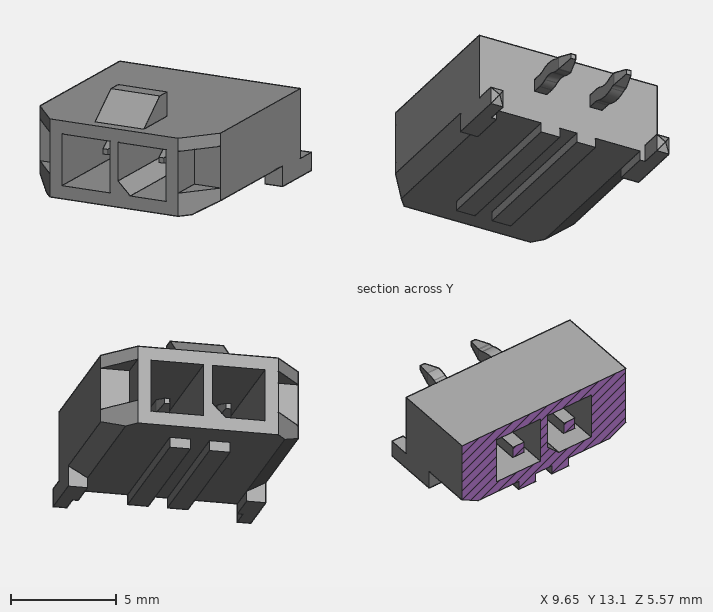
import cadquery as cq

BODY_WIDTH = 9.65
BODY_LENGTH = 9.88
BODY_HEIGHT = 3.87
OVERALL_LENGTH = 13.08

CORNER_WIDTH = 1.4
CORNER_LENGTH = 1.67
NOTCH_BOTTOM = 1.15
NOTCH_HEIGHT = 2.07

BEVEL_WIDTH = 0.94
BEVEL_HEIGHT = 0.52

PITCH = 3.0
POCKET_SIZE = 2.56
POCKET_DEPTH = 7.98
KEY_CHAMFER = 0.65

LATCH_WIDTH = 2.6
LATCH_HEIGHT = 1.2
LATCH_FRONT = 0.56
LATCH_RAMP_LENGTH = 1.64
LATCH_FLAT_LENGTH = 0.75

FOOT_DROP = 0.5
FOOT_LENGTH = 1.85
RAIL_WIDTH = 1.01
RAIL_SPACING = 1.94
RAIL_FRONT = 1.58

PEG_WIDTH = 0.67
PEG_HEIGHT = 0.9
PEG_LENGTH = 1.14
PEG_POINT_LENGTH = 0.26

PIN_SIZE = 0.65
PIN_RISE = 0.04
PIN_HEIGHT = BODY_HEIGHT / 2 + PIN_RISE
PIN_TIP_SIZE = 0.26
PIN_TIP_LENGTH = 0.85
PIN_RECESS = 2.0
WAVE_LENGTH = 1.8
WAVE_DEPTH = 0.18
CREST_SHARE = 0.56
RAISED_WAVE_SHIFT = 0.05


def block(width, y_start, y_end, z_start, z_end, x_center=0):
    """Box centred on x_center, spanning the given Y and Z ranges."""
    return (
        cq.Workplane("XY")
        .box(width, y_end - y_start, z_end - z_start, centered=(True, False, False))
        .translate((x_center, y_start, z_start))
    )


def make_housing():
    """Housing block with bevelled lower sides and cut, notched mouth corners."""
    half_width = BODY_WIDTH / 2
    bevelled_half = half_width - BEVEL_WIDTH
    mouth_half = half_width - CORNER_WIDTH
    section = (
        cq.Workplane("XZ")
        .polyline([
            (-bevelled_half, 0),
            (bevelled_half, 0),
            (half_width, BEVEL_HEIGHT),
            (half_width, BODY_HEIGHT),
            (-half_width, BODY_HEIGHT),
            (-half_width, BEVEL_HEIGHT),
        ])
        .close()
        .extrude(-BODY_LENGTH)
    )
    plan = (
        cq.Workplane("XY")
        .polyline([
            (-mouth_half, 0),
            (mouth_half, 0),
            (half_width, CORNER_LENGTH),
            (half_width, BODY_LENGTH),
            (-half_width, BODY_LENGTH),
            (-half_width, CORNER_LENGTH),
        ])
        .close()
        .extrude(BODY_HEIGHT)
    )
    housing = section.intersect(plan)
    notch_top = NOTCH_BOTTOM + NOTCH_HEIGHT
    for side in (-1, 1):
        notch_x = side * (mouth_half + CORNER_WIDTH / 2)
        housing = housing.cut(block(CORNER_WIDTH, 0, CORNER_LENGTH, NOTCH_BOTTOM, notch_top, notch_x))
    return housing


def make_pocket(side):
    """Square contact pocket; the +X one has a chamfered lower inner corner."""
    bottom = (BODY_HEIGHT - POCKET_SIZE) / 2
    pocket = block(POCKET_SIZE, 0, POCKET_DEPTH, bottom, bottom + POCKET_SIZE, side * PITCH / 2)
    if side > 0:
        pocket = pocket.edges("|Y").edges("<X").edges("<Z").chamfer(KEY_CHAMFER)
    return pocket


def make_latch():
    """Latch ramp rising from the mouth towards a flat top."""
    top = BODY_HEIGHT + LATCH_HEIGHT
    ramp_end = LATCH_FRONT + LATCH_RAMP_LENGTH
    rear = ramp_end + LATCH_FLAT_LENGTH
    return (
        cq.Workplane("YZ")
        .polyline([(LATCH_FRONT, BODY_HEIGHT), (ramp_end, top), (rear, top), (rear, BODY_HEIGHT)])
        .close()
        .extrude(LATCH_WIDTH / 2, both=True)
    )


def make_foot_and_peg(side):
    """Foot under one rear corner, carrying a peg with a pyramid point."""
    foot_x = side * (BODY_WIDTH - BEVEL_WIDTH) / 2
    foot = block(BEVEL_WIDTH, BODY_LENGTH - FOOT_LENGTH, BODY_LENGTH, -FOOT_DROP, BEVEL_HEIGHT, foot_x)

    peg_x = side * (BODY_WIDTH - PEG_WIDTH) / 2
    peg_end = BODY_LENGTH + PEG_LENGTH
    peg_middle = PEG_HEIGHT / 2 - FOOT_DROP
    peg = block(PEG_WIDTH, BODY_LENGTH, peg_end, -FOOT_DROP, PEG_HEIGHT - FOOT_DROP, peg_x)

    corners = [
        cq.Vector(peg_x + dx * PEG_WIDTH / 2, peg_end, peg_middle + dz * PEG_HEIGHT / 2)
        for dx, dz in ((-1, -1), (1, -1), (1, 1), (-1, 1))
    ]
    apex = cq.Vector(peg_x, peg_end + PEG_POINT_LENGTH, peg_middle)
    faces = [cq.Face.makeFromWires(cq.Wire.makePolygon(corners, close=True))]
    for first, second in zip(corners, corners[1:] + corners[:1]):
        faces.append(cq.Face.makeFromWires(cq.Wire.makePolygon([first, second, apex], close=True)))
    point = cq.Solid.makeSolid(cq.Shell.makeShell(faces))
    return foot.union(peg).union(cq.Workplane(point))


def make_rail(side):
    """Rail under the housing, running back to its rear face."""
    return block(RAIL_WIDTH, RAIL_FRONT, BODY_LENGTH, -FOOT_DROP, 0, side * RAIL_SPACING / 2)


def make_pin_tip(x, y_base, direction):
    """Tapered pin end pointing along Y in the given direction."""
    plane = cq.Plane(origin=(x, y_base, PIN_HEIGHT), xDir=(1, 0, 0), normal=(0, direction, 0))
    return (
        cq.Workplane(plane)
        .rect(PIN_SIZE, PIN_SIZE)
        .workplane(offset=PIN_TIP_LENGTH)
        .rect(PIN_TIP_SIZE, PIN_TIP_SIZE)
        .loft()
    )


def make_pin(side):
    """Square pin; the tail wave goes down on the -X pin and up on the +X pin."""
    x = side * PITCH / 2
    contact_base = PIN_RECESS + PIN_TIP_LENGTH
    tail_base = OVERALL_LENGTH - PIN_TIP_LENGTH
    wave_end = tail_base
    if side > 0:
        wave_end -= RAISED_WAVE_SHIFT
    wave_start = wave_end - WAVE_LENGTH
    crest_y = wave_end - WAVE_LENGTH / 2

    crest_half = CREST_SHARE * WAVE_LENGTH / 2
    bend_z = PIN_HEIGHT + side * WAVE_DEPTH * (1 - CREST_SHARE)
    crest_z = PIN_HEIGHT + side * WAVE_DEPTH
    path = (
        cq.Workplane("YZ", origin=(x, 0, 0))
        .moveTo(contact_base, PIN_HEIGHT)
        .lineTo(wave_start, PIN_HEIGHT)
        .tangentArcPoint((crest_y - crest_half, bend_z), relative=False)
        .threePointArc((crest_y, crest_z), (crest_y + crest_half, bend_z))
        .tangentArcPoint((wave_end, PIN_HEIGHT), relative=False)
    )
    if wave_end < tail_base:
        path = path.lineTo(tail_base, PIN_HEIGHT)
    shaft = (
        cq.Workplane("XZ", origin=(x, contact_base, PIN_HEIGHT))
        .rect(PIN_SIZE, PIN_SIZE)
        .sweep(path)
    )
    return shaft.union(make_pin_tip(x, contact_base, -1)).union(make_pin_tip(x, tail_base, 1))


connector = make_housing().union(make_latch())
for side in (-1, 1):
    connector = connector.cut(make_pocket(side))
    connector = connector.union(make_foot_and_peg(side))
    connector = connector.union(make_rail(side))
    connector = connector.union(make_pin(side))

result = cq.Workplane(connector.solids().val())